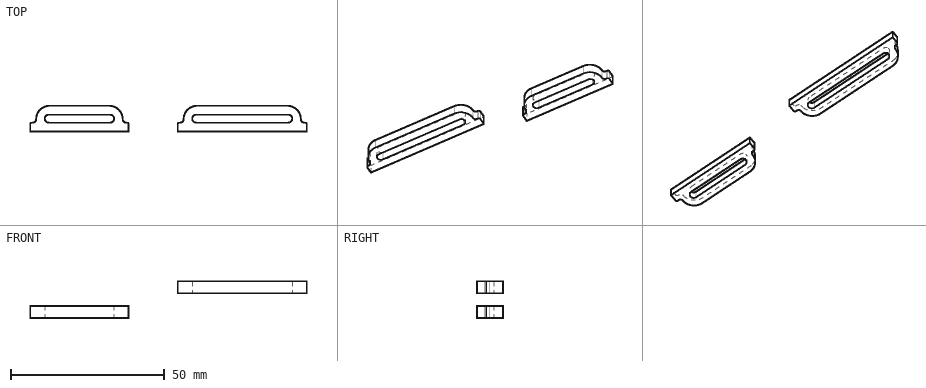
import cadquery as cq
import math

total_span = 90.0
bar_depth = 8.5
bar_height = 4.0
top_bar_z = 8.0
short_length = 32.0
long_length = 42.0

foot_depth = 3.0
foot_ledge = 1.9
foot_tip_radius = 0.5
root_radius = 1.0
corner_radius = bar_depth - foot_depth - root_radius

slot_width = 2.5
slot_front = foot_depth
slot_end_wall = 4.8

DIAGONAL = math.sqrt(0.5)


def bar_outline(length):
    """Foot with rounded tips, blended into a body with large rear corners."""
    half = length / 2
    body_half = half - foot_ledge
    blend_y = foot_depth + root_radius
    root_center_x = body_half + root_radius
    corner_center_x = body_half - corner_radius
    tip_center_x = half - foot_tip_radius
    tip_center_y = foot_depth - foot_tip_radius
    root_mid = root_radius * DIAGONAL
    corner_mid = corner_radius * DIAGONAL
    tip_mid = foot_tip_radius * DIAGONAL
    return (
        cq.Workplane("XY")
        .moveTo(-half, 0)
        .lineTo(half, 0)
        .lineTo(half, tip_center_y)
        .threePointArc((tip_center_x + tip_mid, tip_center_y + tip_mid), (tip_center_x, foot_depth))
        .lineTo(root_center_x, foot_depth)
        .threePointArc((root_center_x - root_mid, blend_y - root_mid), (body_half, blend_y))
        .threePointArc((corner_center_x + corner_mid, blend_y + corner_mid), (corner_center_x, bar_depth))
        .lineTo(-corner_center_x, bar_depth)
        .threePointArc((-corner_center_x - corner_mid, blend_y + corner_mid), (-body_half, blend_y))
        .threePointArc((-root_center_x + root_mid, blend_y - root_mid), (-root_center_x, foot_depth))
        .lineTo(-tip_center_x, foot_depth)
        .threePointArc((-tip_center_x - tip_mid, tip_center_y + tip_mid), (-half, tip_center_y))
        .close()
    )


def slot_cutter(length):
    """Round-ended slot through the full height of a bar."""
    return (
        cq.Workplane("XY")
        .center(0, slot_front + slot_width / 2)
        .slot2D(length - 2 * slot_end_wall, slot_width)
        .extrude(bar_height)
    )


def slotted_bar(length, left_x, bottom_z):
    """Bar with its left end at left_x and its underside at bottom_z."""
    bar = bar_outline(length).extrude(bar_height).cut(slot_cutter(length))
    return bar.translate((left_x + length / 2, 0, bottom_z))


short_bar = slotted_bar(short_length, 0, 0)
long_bar = slotted_bar(long_length, total_span - long_length, top_bar_z)

result = cq.Compound.makeCompound([short_bar.val(), long_bar.val()])